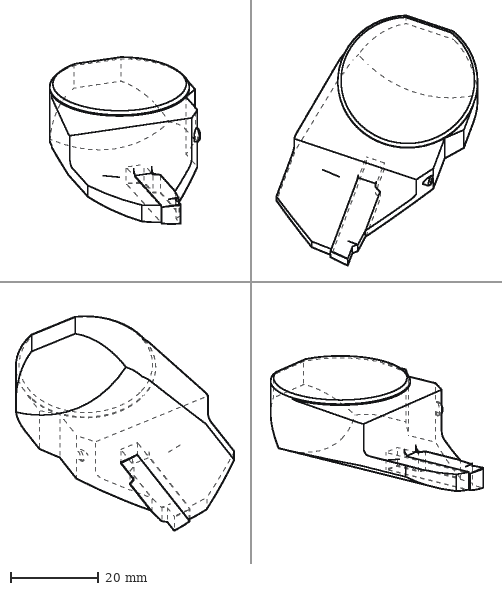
import cadquery as cq
import math

total_height = 18.0
disc_radius = 16.05
disc_chamfer = 0.75
flat_x = -15.0
flat_bottom_z = 11.65

block_top_z = 17.0
underside_radius = 34.2
underside_z = 0.3
front_y = -19.95
shoulder_y = -16.55
shoulder_start_x = -1.75
taper_end_x = 20.7
end_x = 40.15
end_corner_x = 33.9
end_corner_y = -9.15
lobe_x = 6.7
back_x = 10.05
back_y = 12.55
relief_start_x = 17.85
relief_end_x = 35.4

wall_x = 21.7
shelf_radius = 43.2
shelf_z = 4.65
shelf_fillet = 1.5

stud_radius = 1.7
stud_end_x = 20.25
stud_z = 11.2
stud_length = 6.75
stud_chamfer = 0.45

insert_start_x = 16.25
insert_front_y = -4.4
insert_back_y = 1.5
insert_top_z = 4.6
tip_x = 41.1
tip_corner_x = 40.7
tip_z = 4.9
nose_start_x = 33.0
nose_end_x = 37.1
nose_y = 1.0
tip_back_x = 37.9
back_step_x = 22.45
back_step_end_x = 23.3
belly_radius = 19.65
rake_inner = (36.95, -1.35)
rake_outer = (40.6, -3.55)


def trough(radius, lowest_z):
    """Cylinder along X, used to round the underside and hollow the shelf."""
    return (
        cq.Workplane("YZ", origin=(2 * flat_x, 0, 0))
        .center(0, lowest_z + radius)
        .circle(radius)
        .extrude(2 * tip_x - 2 * flat_x)
    )


def make_disc():
    """Chamfered disc with a flat on its -X side."""
    flat_trim = cq.Workplane("XY").box(
        2 * disc_radius, 2 * disc_radius, total_height, centered=(False, True, False)
    ).translate((flat_x, 0, 0))
    disc = cq.Workplane("XY").circle(disc_radius).extrude(total_height)
    return disc.intersect(flat_trim).faces(">Z").chamfer(disc_chamfer)


def make_block():
    """Tapered block from the disc to the cutting end, with a diagonal relief at the back."""
    shoulder_start_y = -math.sqrt(disc_radius**2 - shoulder_start_x**2)
    outline = [
        (0, disc_radius),
        (shoulder_start_x, shoulder_start_y),
        (0, shoulder_y),
        (taper_end_x, front_y),
        (end_corner_x, front_y),
        (end_x, end_corner_y),
        (end_x, insert_front_y),
        (relief_end_x, 0),
        (relief_start_x, back_y),
        (back_x, back_y),
        (lobe_x, disc_radius),
    ]
    return cq.Workplane("XY").polyline(outline).close().extrude(block_top_z)


def make_shelf_cut():
    """Space above the hollow shelf, rounded where the shelf meets the wall."""
    space = cq.Workplane("XY").box(
        2 * tip_x, 4 * disc_radius, total_height, centered=(False, True, False)
    ).translate((wall_x, 0, 0))
    cut = space.intersect(trough(shelf_radius, shelf_z))
    lowest_on_wall = cq.selectors.NearestToPointSelector((wall_x, 0, shelf_z))
    return cut.edges(lowest_on_wall).fillet(shelf_fillet)


def make_stud():
    """Chamfered round stud along Y, standing proud of the diagonal relief."""
    return (
        cq.Workplane("XZ", origin=(stud_end_x - stud_radius, back_y, stud_z))
        .circle(stud_radius)
        .extrude(stud_length)
        .faces(">Y")
        .chamfer(stud_chamfer)
    )


def insert_prism(height):
    """Vertical prism on the plan outline of the insert."""
    outline = [
        (insert_start_x, insert_front_y),
        (tip_corner_x, insert_front_y),
        (tip_x, 0),
        (tip_back_x, 0),
        (nose_end_x, nose_y),
        (nose_start_x, insert_back_y),
        (back_step_end_x, insert_back_y),
        (back_step_x, 0),
        (insert_start_x, 0),
    ]
    return cq.Workplane("XY").polyline(outline).close().extrude(height)


def make_rake():
    """Raised cutting face, sloping up from the flat top to the tip."""
    outline = [rake_inner, rake_outer, (tip_x, 0), (tip_back_x, 0), (nose_end_x, nose_y)]
    inner = cq.Vector(*rake_inner, insert_top_z)
    outer = cq.Vector(*rake_outer, insert_top_z)
    tip = cq.Vector(tip_x, 0, tip_z)
    along_edge = outer - inner
    slope_normal = along_edge.cross(tip - inner)
    above_slope = (
        cq.Workplane(cq.Plane(inner, along_edge, slope_normal))
        .rect(tip_x, tip_x)
        .extrude(total_height)
    )
    prism = cq.Workplane("XY", origin=(0, 0, insert_top_z)).polyline(outline).close()
    return prism.extrude(total_height - insert_top_z).cut(above_slope)


def make_insert():
    """Grooving insert with a rounded belly just below the holder and a raised rake face."""
    belly = insert_prism(insert_top_z).intersect(trough(belly_radius, 0))
    return belly.union(make_rake())


def make_seat():
    """Recess for the insert, open above it in front of the wall."""
    open_part = cq.Workplane("XY").box(
        tip_x, 2 * disc_radius, total_height, centered=(False, True, False)
    ).translate((wall_x, 0, 0))
    return insert_prism(insert_top_z).union(insert_prism(block_top_z).intersect(open_part))


def make_holder():
    """Disc and block with a rounded belly, a 45 degree heel, a shelf and the insert seat."""
    heel = (
        cq.Workplane("XZ")
        .polyline([(flat_x, 0), (flat_x, flat_bottom_z), (flat_x + flat_bottom_z, 0)])
        .close()
        .extrude(2 * disc_radius, both=True)
    )
    holder = make_disc().union(make_block()).cut(make_shelf_cut()).union(make_stud())
    return holder.intersect(trough(underside_radius, underside_z)).cut(heel).cut(make_seat())


holder = make_holder()
insert = make_insert()

result = cq.Compound.makeCompound([holder.val(), insert.val()])